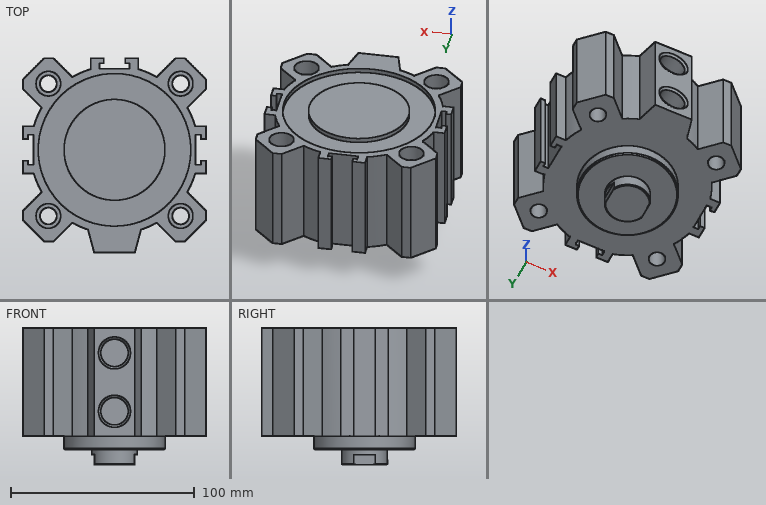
import cadquery as cq
import math

body_height = 58.9
barrel_diameter = 91.8
half_square = 49.98

recess_diameter = 83.2
recess_depth = 2.5
centre_disc_diameter = 55.0

lug_angle = 45
lug_width = 23.6
lug_reach = 62.4
bolt_offset = 36.0
bolt_diameter = 9.0
counterbore_diameter = 13.5
counterbore_depth = 8.7

rail_angles = (0, 90, 180)
rail_width = 26.0
slot_opening = 11.7
slot_width = 16.2
slot_lip = 2.9
slot_depth = 5.7

port_face = 56.02
port_face_width = 22.3
port_block_taper = 15.0
port_diameter = 14.9
port_chamfer = 1.3
port_depth = 12.7
port_inset = 13.6

boss_diameter = 55.3
boss_height = 7.4
boss_chamfer = 0.7

rod_diameter = 25.0
rod_length = 8.2
rod_chamfer = 0.5
flats_across = 22.0
flats_length = 5.5


def make_lugs():
    square = cq.Workplane("XY").rect(2 * half_square, 2 * half_square).extrude(body_height)
    bar = cq.Workplane("XY").rect(2 * lug_reach, lug_width).extrude(body_height)
    rising = bar.rotate((0, 0, 0), (0, 0, 1), lug_angle)
    falling = bar.rotate((0, 0, 0), (0, 0, 1), -lug_angle)
    diagonals = rising.union(falling)
    return diagonals.intersect(square)


def make_port_block():
    half_tip = port_face_width / 2
    half_root = half_tip + port_face * math.tan(math.radians(port_block_taper))
    outline = [(-half_root, 0), (-half_tip, -port_face), (half_tip, -port_face), (half_root, 0)]
    return cq.Workplane("XY").polyline(outline).close().extrude(body_height)


def make_rail_bar(angle):
    bar = cq.Workplane("XY").center(half_square / 2, 0).rect(half_square, rail_width).extrude(body_height)
    return bar.rotate((0, 0, 0), (0, 0, 1), angle)


def make_t_slot(angle):
    undercut = slot_depth - slot_lip
    opening = (
        cq.Workplane("XY").center(half_square - slot_depth / 2, 0)
        .rect(slot_depth, slot_opening).extrude(body_height)
    )
    pocket = (
        cq.Workplane("XY").center(half_square - slot_lip - undercut / 2, 0)
        .rect(undercut, slot_width).extrude(body_height)
    )
    return opening.union(pocket).rotate((0, 0, 0), (0, 0, 1), angle)


def make_boss():
    boss = cq.Workplane("XY").circle(boss_diameter / 2).extrude(-boss_height)
    return boss.faces("<Z").chamfer(boss_chamfer)


def make_port(height):
    """Blind port drilled along +Y from the port face, with a chamfered mouth."""
    radius = port_diameter / 2
    mouth = radius + port_chamfer
    profile = [(0, 0), (mouth, 0), (radius, port_chamfer), (radius, port_depth), (0, port_depth)]
    port = cq.Workplane("XY").polyline(profile).close().revolve(360, (0, 0, 0), (0, 1, 0))
    return port.translate((0, -port_face, height))


def make_recess():
    return (
        cq.Workplane("XY", origin=(0, 0, body_height))
        .circle(recess_diameter / 2).circle(centre_disc_diameter / 2).extrude(-recess_depth)
    )


def make_housing():
    housing = cq.Workplane("XY").circle(barrel_diameter / 2).extrude(body_height)
    housing = housing.union(make_lugs()).union(make_port_block())
    for angle in rail_angles:
        housing = housing.union(make_rail_bar(angle)).cut(make_t_slot(angle))
    housing = housing.union(make_boss()).cut(make_recess())
    housing = (
        housing.faces(">Z").workplane(origin=(0, 0, body_height))
        .rect(2 * bolt_offset, 2 * bolt_offset, forConstruction=True).vertices()
        .cboreHole(bolt_diameter, counterbore_diameter, counterbore_depth)
    )
    for height in (port_inset, body_height - port_inset):
        housing = housing.cut(make_port(height))
    return housing


def make_rod():
    """Rod end that rests on the boss face; the flats are cut on its +-X sides."""
    rod = cq.Workplane("XY", origin=(0, 0, -boss_height)).circle(rod_diameter / 2).extrude(-rod_length)
    rod = rod.faces("<Z").chamfer(rod_chamfer)
    flats = (
        cq.Workplane("XY", origin=(0, 0, -boss_height - rod_length))
        .rect(2 * rod_diameter, 2 * rod_diameter).rect(flats_across, 2 * rod_diameter)
        .extrude(flats_length)
    )
    return rod.cut(flats)


housing = make_housing()
rod = make_rod()
result = cq.Compound.makeCompound([housing.val(), rod.val()])